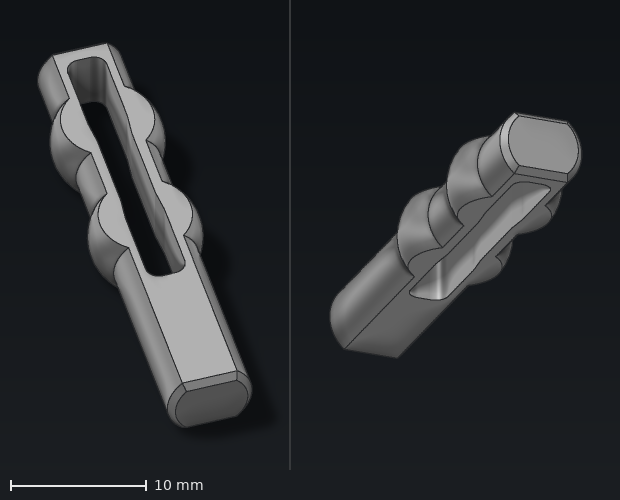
import cadquery as cq

bar_length = 34.38
bar_radius = 3.25
bar_height = 5.0
end_chamfer = 0.48

bulge_diameter = 8.55
first_bulge_x = 7.63
bulge_spacing = 9.7
bulge_count = 2

slot_start_x = 1.48
slot_end_x = 23.4
slot_width = 3.0
slot_corner_radius = 1.0
neck_width = 2.65
neck_length = 6.0
neck_taper_length = 1.8
neck_centre_x = first_bulge_x + bulge_spacing / 2


def make_flats(width):
    """Slab as long and as high as the bar, used to trim round shapes to the flats."""
    slab = cq.Workplane("XY").box(bar_length, width, bar_height)
    return slab.translate((bar_length / 2, 0, 0))


def make_bar():
    """Rod trimmed to the flats, with both ends chamfered all round."""
    rod = cq.Workplane("YZ").circle(bar_radius).extrude(bar_length)
    bar = rod.intersect(make_flats(2 * bar_radius))
    return bar.faces("<X or >X").chamfer(end_chamfer)


def make_bulge(centre_x):
    """Ball trimmed to the same flats as the bar."""
    ball = cq.Workplane("XY").sphere(bulge_diameter / 2).translate((centre_x, 0, 0))
    return ball.intersect(make_flats(bulge_diameter))


def make_slot():
    """Slot cutter, mirrored about the bar axis, with rounded end corners."""
    slot_half = slot_width / 2
    neck_half = neck_width / 2
    neck_start_x = neck_centre_x - neck_length / 2
    neck_end_x = neck_centre_x + neck_length / 2
    upper_side = [
        (slot_start_x, slot_half),
        (neck_start_x - neck_taper_length, slot_half),
        (neck_start_x, neck_half),
        (neck_end_x, neck_half),
        (neck_end_x + neck_taper_length, slot_half),
        (slot_end_x, slot_half),
    ]
    lower_side = [(x, -y) for x, y in reversed(upper_side)]
    outline = cq.Workplane("XY").polyline(upper_side + lower_side).close()
    slot = outline.extrude(bar_height / 2, both=True)
    return slot.faces("<X or >X").edges("|Z").fillet(slot_corner_radius)


result = make_bar()
for bulge_index in range(bulge_count):
    result = result.union(make_bulge(first_bulge_x + bulge_index * bulge_spacing))
result = result.cut(make_slot())